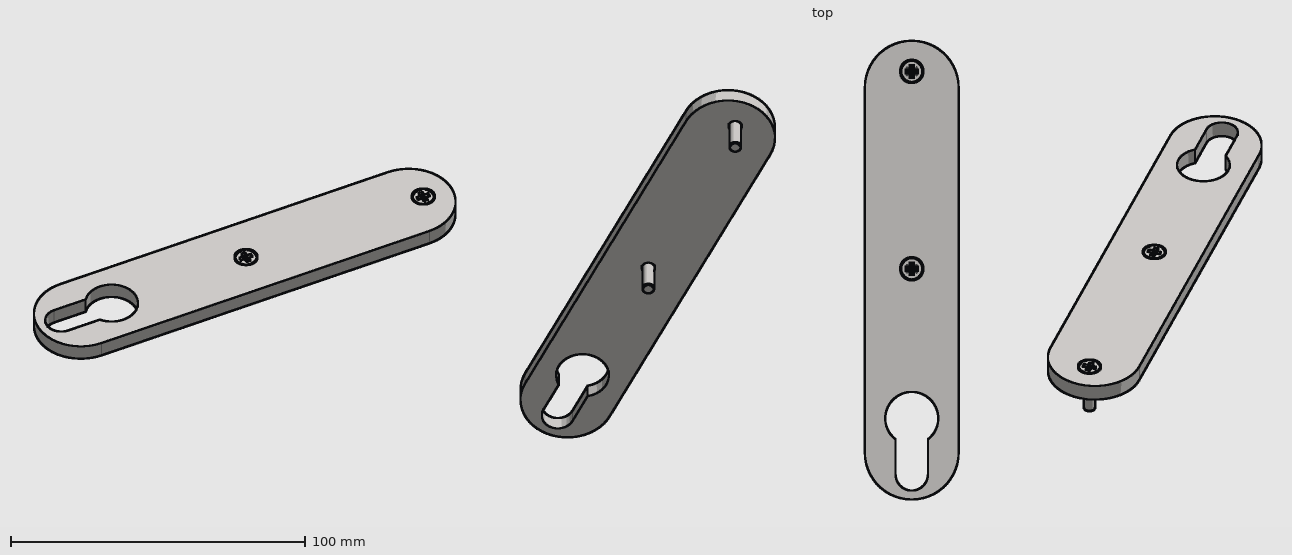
import cadquery as cq

PLATE_LENGTH = 156.0
PLATE_WIDTH = 32.0
PLATE_THICKNESS = 6.0

BORE_DIAMETER = 18.0
BORE_Y = -50.4
SLOT_WIDTH = 10.9
SLOT_END_Y = -74.9

SCREW_POSITIONS_Y = (67.5, 0.5)
HOLE_DIAMETER = 4.5
COUNTERSINK_DIAMETER = 8.0
COUNTERSINK_ANGLE = 90.0

HEAD_DIAMETER = 7.2
SHANK_DIAMETER = 4.0
TIP_DIAMETER = 3.6
TIP_LENGTH = 0.5
OVERALL_HEIGHT = 18.0
TIP_Z = PLATE_THICKNESS - OVERALL_HEIGHT
HEAD_RIM_HEIGHT = (COUNTERSINK_DIAMETER - HEAD_DIAMETER) / 2
HEAD_CONE_HEIGHT = (HEAD_DIAMETER - SHANK_DIAMETER) / 2
HEAD_RIM_Z = PLATE_THICKNESS - HEAD_RIM_HEIGHT

RECESS_SPAN = 4.4
RECESS_ARM_WIDTH = 1.4
RECESS_DEPTH = 2.5
RECESS_TAPER = 10.0


def make_keyhole():
    """Cutter for the round bore and the slot below it."""
    bore = cq.Workplane().center(0, BORE_Y).circle(BORE_DIAMETER / 2).extrude(PLATE_THICKNESS)
    half_width = SLOT_WIDTH / 2
    slot = (
        cq.Workplane()
        .moveTo(-half_width, BORE_Y)
        .lineTo(-half_width, SLOT_END_Y + half_width)
        .threePointArc((0, SLOT_END_Y), (half_width, SLOT_END_Y + half_width))
        .lineTo(half_width, BORE_Y)
        .close()
        .extrude(PLATE_THICKNESS)
    )
    return bore.union(slot)


def make_plate():
    """Round-ended plate with the keyhole and the countersunk screw holes."""
    blank = cq.Workplane().slot2D(PLATE_LENGTH, PLATE_WIDTH, 90).extrude(PLATE_THICKNESS)
    return (
        blank.cut(make_keyhole())
        .faces(">Z")
        .workplane(origin=(0, 0, 0))
        .pushPoints([(0, y) for y in SCREW_POSITIONS_Y])
        .cskHole(HOLE_DIAMETER, COUNTERSINK_DIAMETER, COUNTERSINK_ANGLE)
    )


def make_cross_recess():
    """Tapered cross-shaped cutter, sunk from the top of the screw head."""
    top = cq.Workplane(origin=(0, 0, PLATE_THICKNESS))
    arm = top.rect(RECESS_SPAN, RECESS_ARM_WIDTH).extrude(-RECESS_DEPTH, taper=RECESS_TAPER)
    return arm.union(arm.rotate((0, 0, 0), (0, 0, 1), 90))


def make_screw(y):
    """Countersunk screw on the plate's centre line at the given Y."""
    profile = [
        (0, TIP_Z),
        (TIP_DIAMETER / 2, TIP_Z),
        (SHANK_DIAMETER / 2, TIP_Z + TIP_LENGTH),
        (SHANK_DIAMETER / 2, HEAD_RIM_Z - HEAD_CONE_HEIGHT),
        (HEAD_DIAMETER / 2, HEAD_RIM_Z),
        (HEAD_DIAMETER / 2, PLATE_THICKNESS),
        (0, PLATE_THICKNESS),
    ]
    body = cq.Workplane("XZ").polyline(profile).close().revolve(360, (0, 0), (0, 1))
    return body.cut(make_cross_recess()).translate((0, y, 0))


plate = make_plate()
screws = [make_screw(y) for y in SCREW_POSITIONS_Y]

result = cq.Compound.makeCompound([plate.val(), *[screw.val() for screw in screws]])